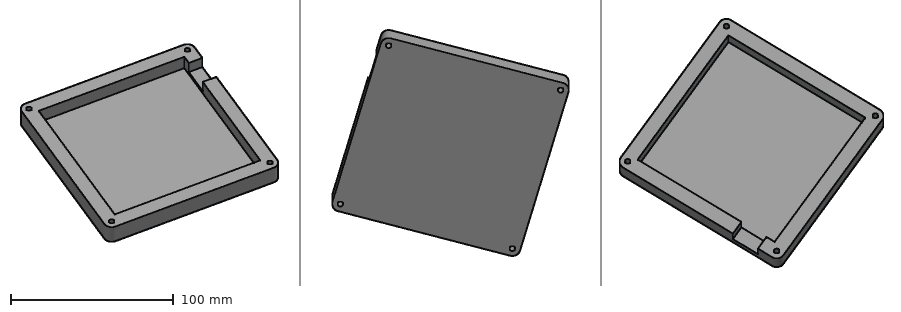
import cadquery as cq

side = 120.0
height = 13.0
corner_radius = 5.0

wall = 9.5
pocket_side = side - 2 * wall
pocket_depth = 10.0

notch_start = 15.5
notch_width = 18.5
notch_depth = 8.0

hole_diameter = 3.4
hole_spacing = side - 2 * corner_radius


def rounded_block():
    """Square block with rounded vertical edges, its base at Z = 0."""
    block = cq.Workplane("XY").box(side, side, height, centered=(True, True, False))
    return block.edges("|Z").fillet(corner_radius)


def pocket_cutter():
    """Square volume removed from the middle of the block."""
    floor = cq.Workplane("XY").workplane(offset=height - pocket_depth)
    return floor.rect(pocket_side, pocket_side).extrude(pocket_depth)


def notch_cutter():
    """Volume removed across the full thickness of the rear wall."""
    center_x = -side / 2 + notch_start + notch_width / 2
    center_y = side / 2 - wall / 2
    floor = cq.Workplane("XY").workplane(offset=height - notch_depth)
    return floor.center(center_x, center_y).rect(notch_width, wall).extrude(notch_depth)


def corner_hole_cutters():
    """Four through holes, one in each corner."""
    centers = cq.Workplane("XY").rect(hole_spacing, hole_spacing, forConstruction=True).vertices()
    return centers.circle(hole_diameter / 2).extrude(height)


result = rounded_block().cut(pocket_cutter()).cut(notch_cutter()).cut(corner_hole_cutters())